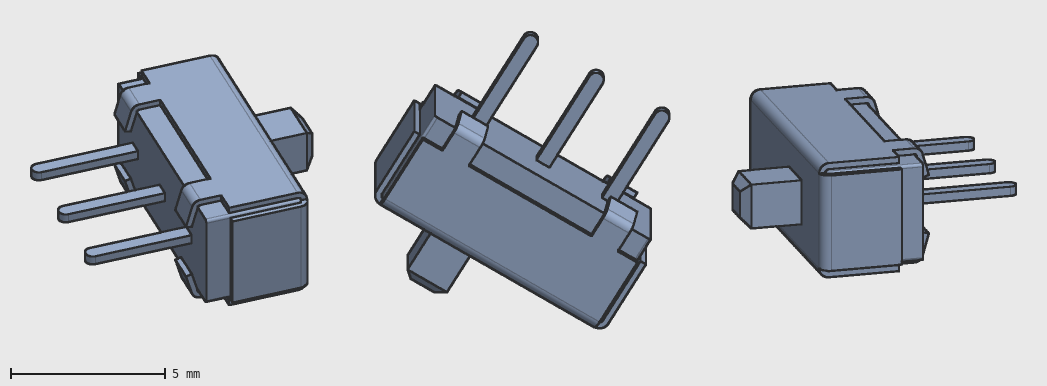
import cadquery as cq
import math


housing_width = 8.2
housing_height = 3.3
switch_depth = 3.5
housing_edge_radius = 0.1

sheet = 0.21
cover_gap = 0.09
bend_inset = 0.03
flange_end = 0.8
bend_radius = bend_inset + cover_gap + sheet
cover_width = housing_width - 2 * bend_inset
cover_height = housing_height - 2 * bend_inset
plate_inside = switch_depth - sheet

tab_width = 1.0
tab_offset = 2.83
tab_bend_start = 0.08
tab_bend_radius = 0.3
tab_bend_angle = math.radians(74)
tab_length = 0.76

lever_size = 1.5
lever_length = 2.0
lever_offset = -1.25
lever_chamfer = 0.3

pin_count = 3
pin_pitch = 2.49
pin_width = 0.5
pin_thickness = 0.32
pin_length = 3.59


def profile_plane(outward, shift=0):
    """Workplane whose local x is the outward direction and local y is +Y, moved by shift along X."""
    x, _, z = outward
    return cq.Workplane(cq.Plane(origin=(shift, 0, 0), xDir=outward, normal=(-z, 0, x)))


def arc_point(centre, radius, angle):
    """Point on a circle, the angle counted from the outward direction."""
    return (centre[0] + radius * math.cos(angle), centre[1] + radius * math.sin(angle))


def make_housing():
    depth = plate_inside
    block = cq.Workplane("XY").box(housing_width, depth, housing_height)
    return block.edges("|Y").fillet(housing_edge_radius).translate((0, depth / 2, 0))


def make_flange(outward, half_span, width):
    """Half of the cover plate with the flange bent down from its edge."""
    outside = half_span + cover_gap + sheet
    inside = outside - sheet
    centre = (outside - bend_radius, switch_depth - bend_radius)
    middle = math.radians(45)
    return (
        profile_plane(outward)
        .moveTo(0, switch_depth)
        .lineTo(centre[0], switch_depth)
        .threePointArc(arc_point(centre, bend_radius, middle), (outside, centre[1]))
        .lineTo(outside, flange_end)
        .lineTo(inside, flange_end)
        .lineTo(inside, centre[1])
        .threePointArc(arc_point(centre, bend_radius - sheet, middle), (centre[0], plate_inside))
        .lineTo(0, plate_inside)
        .close()
        .extrude(width / 2, both=True)
    )


def make_tab(outward, shift):
    """Tab running on from a long flange, then bent inwards."""
    outside = housing_height / 2 + cover_gap + sheet
    inside = outside - sheet
    inner_radius = tab_bend_radius - sheet
    centre = (outside - tab_bend_radius, tab_bend_start)
    outer_bend_end = arc_point(centre, tab_bend_radius, -tab_bend_angle)
    inner_bend_end = arc_point(centre, inner_radius, -tab_bend_angle)
    run = (-tab_length * math.sin(tab_bend_angle), -tab_length * math.cos(tab_bend_angle))
    return (
        profile_plane(outward, shift)
        .moveTo(outside, flange_end)
        .lineTo(outside, tab_bend_start)
        .threePointArc(arc_point(centre, tab_bend_radius, -tab_bend_angle / 2), outer_bend_end)
        .line(*run)
        .lineTo(inner_bend_end[0] + run[0], inner_bend_end[1] + run[1])
        .lineTo(*inner_bend_end)
        .threePointArc(arc_point(centre, inner_radius, -tab_bend_angle / 2), (inside, tab_bend_start))
        .lineTo(inside, flange_end)
        .close()
        .extrude(tab_width / 2, both=True)
    )


def make_cover():
    cover = cq.Workplane("XY")
    for side in (-1, 1):
        long_side = (0, 0, side)
        cover = cover.union(make_flange(long_side, housing_height / 2, cover_width))
        cover = cover.union(make_flange((side, 0, 0), housing_width / 2, cover_height))
        for shift in (-tab_offset, tab_offset):
            cover = cover.union(make_tab(long_side, shift))
    return cover


def make_lever():
    lever = cq.Workplane("XY").box(lever_size, lever_length, lever_size)
    lever = lever.faces(">Y").chamfer(lever_chamfer)
    return lever.translate((lever_offset, switch_depth + lever_length / 2, 0))


def make_pin(x):
    """Flat pin with a round end."""
    half = pin_width / 2
    return (
        cq.Workplane("XY")
        .moveTo(x - half, 0)
        .lineTo(x - half, half - pin_length)
        .threePointArc((x, -pin_length), (x + half, half - pin_length))
        .lineTo(x + half, 0)
        .close()
        .extrude(pin_thickness / 2, both=True)
    )


result = make_housing().union(make_cover()).union(make_lever())
for index in range(pin_count):
    result = result.union(make_pin((index - (pin_count - 1) / 2) * pin_pitch))